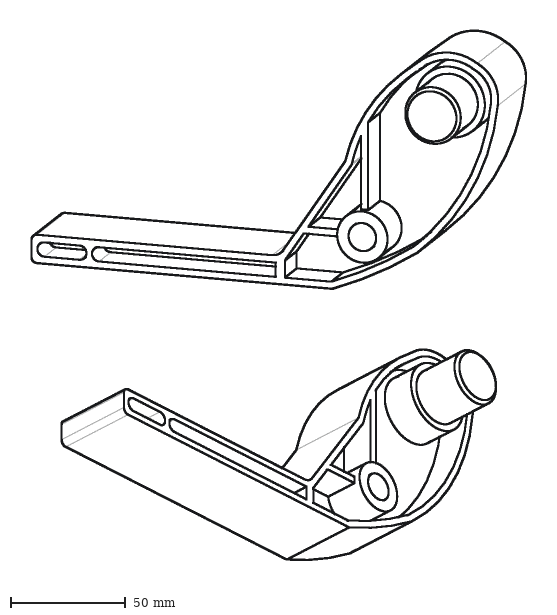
import cadquery as cq
import math

length = 214.0
height = 111.1
body_depth = 38.5
wall = 3.2
pocket_depth = 16.3

handle_height = 12.8
handle_end_radius = 2.5
handle_head_fillet = 6.0
handle_top_corner_x = 113.7
handle_bottom_end_x = 138.0

slot_height = handle_height - 2 * wall
round_slot_start = 2.8
round_slot_end = 25.3
long_slot_start = 27.8
long_slot_end = 112.0
head_pocket_start = 116.3

slant_end = (143.9, 58.0)
back_arc_middle = (154.1, 82.2)
back_arc_end = (169.5, 99.5)
belly_corner = (176.8, 19.5)
lower_arc_middle = (158.0, 8.5)
belly_arc_middle = (200.8, 48.2)
belly_arc_end = (213.9, 89.0)
tip_radius = 22.3
tip_arc_start_angle = 124.0
tip_arc_end_angle = 56.0
nose_middle = (211.5, 100.8)

pin_x = 192.0
pin_z = height - tip_radius
pin_diameter = 25.5
pin_length = 25.0
pin_chamfer = 1.5
pin_boss_diameter = 32.0
pin_boss_rise = 1.5

pivot_x = 152.9
pivot_z = 25.5
pivot_boss_diameter = 23.1
pivot_boss_rise = 3.2
pivot_hole_diameter = 12.6


def front_plane(y):
    """XZ sketch plane at depth y whose extrusions go toward +Y."""
    return cq.Workplane(cq.Plane(origin=(0, y, 0), xDir=(1, 0, 0), normal=(0, -1, 0)))


def cylinder(x, z, diameter, y_start, y_end):
    """Round bar along Y between two depths."""
    return front_plane(y_start).center(x, z).circle(diameter / 2).extrude(y_start - y_end)


def block(x_start, x_end, z_start, z_end, depth):
    """Rectangular block going back from the front face."""
    return cq.Workplane("XY").box(
        x_end - x_start, depth, z_end - z_start, centered=False
    ).translate((x_start, 0, z_start))


def tip_point(angle):
    """Point on the tip arc, which is centred on the pin."""
    turn = math.radians(angle)
    return (pin_x + tip_radius * math.cos(turn), pin_z + tip_radius * math.sin(turn))


def outline():
    """Closed lever outline with sharp corners at the handle."""
    return (
        front_plane(0)
        .moveTo(0, 0)
        .lineTo(handle_bottom_end_x, 0)
        .threePointArc(lower_arc_middle, belly_corner)
        .threePointArc(belly_arc_middle, belly_arc_end)
        .threePointArc(nose_middle, tip_point(tip_arc_end_angle))
        .threePointArc((pin_x, height), tip_point(tip_arc_start_angle))
        .lineTo(*back_arc_end)
        .threePointArc(back_arc_middle, slant_end)
        .lineTo(handle_top_corner_x, handle_height)
        .lineTo(0, handle_height)
        .close()
    )


def lever_body():
    """Solid lever, rounded at the handle end and where the handle meets the head."""
    body = outline().extrude(-body_depth)
    body = body.edges("|Y").edges("<X").fillet(handle_end_radius)
    inner_corner = cq.selectors.NearestToPointSelector(
        (handle_top_corner_x, body_depth / 2, handle_height)
    )
    return body.edges("|Y").edges(inner_corner).fillet(handle_head_fillet)


def head_pocket():
    """Space inside the head wall, less the two ribs that hold the pivot boss."""
    pocket = outline().offset2D(-wall).extrude(-pocket_depth)
    pocket = pocket.intersect(block(head_pocket_start, length, 0, height, pocket_depth))
    upright_rib = block(pivot_x - wall / 2, pivot_x + wall / 2, pivot_z, height, pocket_depth)
    level_rib = block(0, pivot_x, pivot_z - wall / 2, pivot_z + wall / 2, pocket_depth)
    return pocket.cut(upright_rib).cut(level_rib)


def handle_slot(x_start, x_end):
    """Slot along the handle with fully rounded ends."""
    slot_center = ((x_start + x_end) / 2, handle_height / 2)
    sketch = front_plane(0).center(*slot_center).slot2D(x_end - x_start, slot_height)
    return sketch.extrude(-pocket_depth)


def handle_slots():
    """Short slot rounded at both ends and long slot squared off at the head."""
    square_end = block(
        long_slot_end - slot_height, long_slot_end, wall, wall + slot_height, pocket_depth
    )
    long_slot = handle_slot(long_slot_start, long_slot_end).union(square_end)
    return handle_slot(round_slot_start, round_slot_end).union(long_slot)


def crank_pin():
    """Pin with a chamfered tip on a wider boss that stands out at the back."""
    boss = cylinder(pin_x, pin_z, pin_boss_diameter, 0, body_depth + pin_boss_rise)
    pin = cylinder(pin_x, pin_z, pin_diameter, -pin_length, body_depth)
    return boss.union(pin.faces("<Y").chamfer(pin_chamfer))


pivot_boss = cylinder(pivot_x, pivot_z, pivot_boss_diameter, -pivot_boss_rise, body_depth)
pivot_hole = cylinder(pivot_x, pivot_z, pivot_hole_diameter, -pivot_boss_rise, body_depth)

result = (
    lever_body()
    .cut(head_pocket())
    .cut(handle_slots())
    .union(crank_pin())
    .union(pivot_boss)
    .cut(pivot_hole)
)